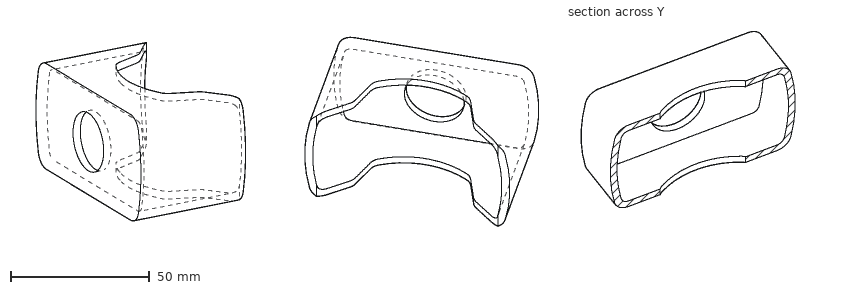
import math

import cadquery as cq

WIDTH = 76.2
DEPTH = 43.5
HEIGHT = 40.6
WALL = 3.0

END_RADIUS = 70.0
CORNER_RADIUS = 6.0

HOLE_DIAMETER = 22.2

SADDLE_RADIUS = 33.0
SADDLE_BOTTOM_Y = -5.25
KNEE_X = 22.4
KNEE_Y = 12.25
LEAD_IN_ANGLE = 40.0
FLANK_ANGLE = 70.0
SADDLE_CORNER_RADIUS = 5.0

FRONT_Y = -DEPTH / 2
BACK_Y = DEPTH / 2
CUT_MARGIN = 5.0


def bowed_block(width, height, end_radius, corner_radius, start_y):
    """Block from start_y to the open back, with bowed ends and rounded long edges."""
    half_width = width / 2
    half_height = height / 2
    bow = end_radius - math.sqrt(end_radius**2 - half_height**2)
    corner_x = half_width - bow
    return (
        cq.Workplane("XZ", origin=(0, start_y, 0))
        .moveTo(-corner_x, half_height)
        .lineTo(corner_x, half_height)
        .threePointArc((half_width, 0), (corner_x, -half_height))
        .lineTo(-corner_x, -half_height)
        .threePointArc((-half_width, 0), (-corner_x, half_height))
        .close()
        .extrude(start_y - BACK_Y)
        .edges("|Y")
        .fillet(corner_radius)
    )


def hollow_shell():
    """Cup of uniform wall thickness, open at the back."""
    outside = bowed_block(WIDTH, HEIGHT, END_RADIUS, CORNER_RADIUS, FRONT_Y)
    inside = bowed_block(
        WIDTH - 2 * WALL,
        HEIGHT - 2 * WALL,
        END_RADIUS - WALL,
        CORNER_RADIUS - WALL,
        FRONT_Y + WALL,
    )
    return outside.cut(inside)


def front_hole():
    """Cylinder that pierces only the front wall."""
    return cq.Workplane("XZ", origin=(0, FRONT_Y, 0)).circle(HOLE_DIAMETER / 2).extrude(-2 * WALL)


def saddle():
    """Cutter with a round bottom, steep flanks and flared lead-ins, running along Z."""
    top_y = BACK_Y + CUT_MARGIN
    top_x = KNEE_X + (top_y - KNEE_Y) / math.tan(math.radians(LEAD_IN_ANGLE))

    center_y = SADDLE_BOTTOM_Y + SADDLE_RADIUS
    inward = math.cos(math.radians(FLANK_ANGLE))
    downward = math.sin(math.radians(FLANK_ANGLE))
    rise = center_y - KNEE_Y
    along = KNEE_X * inward - rise * downward
    flank_length = along + math.sqrt(along**2 + SADDLE_RADIUS**2 - KNEE_X**2 - rise**2)
    foot_x = KNEE_X - flank_length * inward
    foot_y = KNEE_Y - flank_length * downward

    cutter = (
        cq.Workplane("XY", origin=(0, 0, -HEIGHT))
        .moveTo(-top_x, top_y)
        .lineTo(-KNEE_X, KNEE_Y)
        .lineTo(-foot_x, foot_y)
        .threePointArc((0, SADDLE_BOTTOM_Y), (foot_x, foot_y))
        .lineTo(KNEE_X, KNEE_Y)
        .lineTo(top_x, top_y)
        .close()
        .extrude(2 * HEIGHT)
    )
    below_rim = cq.selectors.BoxSelector((-WIDTH, FRONT_Y, -HEIGHT), (WIDTH, BACK_Y, HEIGHT))
    return cutter.edges("|Z").edges(below_rim).fillet(SADDLE_CORNER_RADIUS)


result = hollow_shell().cut(front_hole()).cut(saddle())